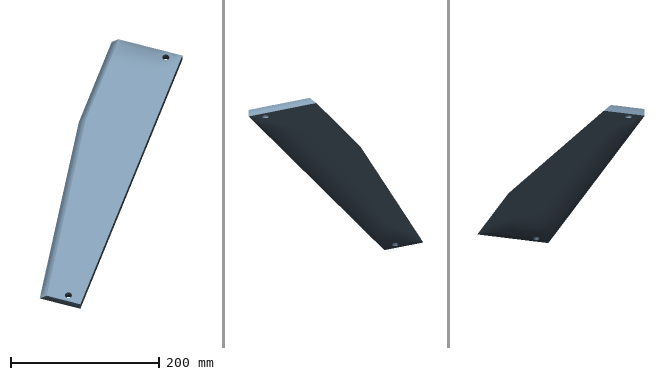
import cadquery as cq
import math

length = 447.0
wide_end = 100.0
narrow_end = 57.5
thickness = 10.0
straight_length = 144.5
bevel_setback = thickness

hole_diameter = 9.5
hole_side_margin = 20.0
hole_end_margin = 10.0

bend_y = length - straight_length
taper_angle = math.atan2(wide_end - narrow_end, bend_y)


def plate_outline(setback):
    """Plate outline with the bevelled side moved inward, square to each edge, by the setback."""
    narrow_x = -narrow_end + setback / math.cos(taper_angle)
    wide_x = -wide_end + setback
    inner_bend_y = bend_y + setback * math.tan(taper_angle / 2)
    return [(0, 0), (0, length), (wide_x, length), (wide_x, inner_bend_y), (narrow_x, 0)]


def bevelled_plate():
    """Flat plate whose bent side slopes inward from the bottom face to the top face."""
    return (
        cq.Workplane("XY")
        .polyline(plate_outline(0))
        .close()
        .workplane(offset=thickness)
        .polyline(plate_outline(bevel_setback))
        .close()
        .loft(ruled=True, combine=True)
    )


def end_holes():
    """One through-hole cutter near each end of the plate."""
    centers = [(-hole_side_margin, y) for y in (hole_end_margin, length - hole_end_margin)]
    return cq.Workplane("XY").pushPoints(centers).circle(hole_diameter / 2).extrude(thickness)


result = bevelled_plate().cut(end_holes())